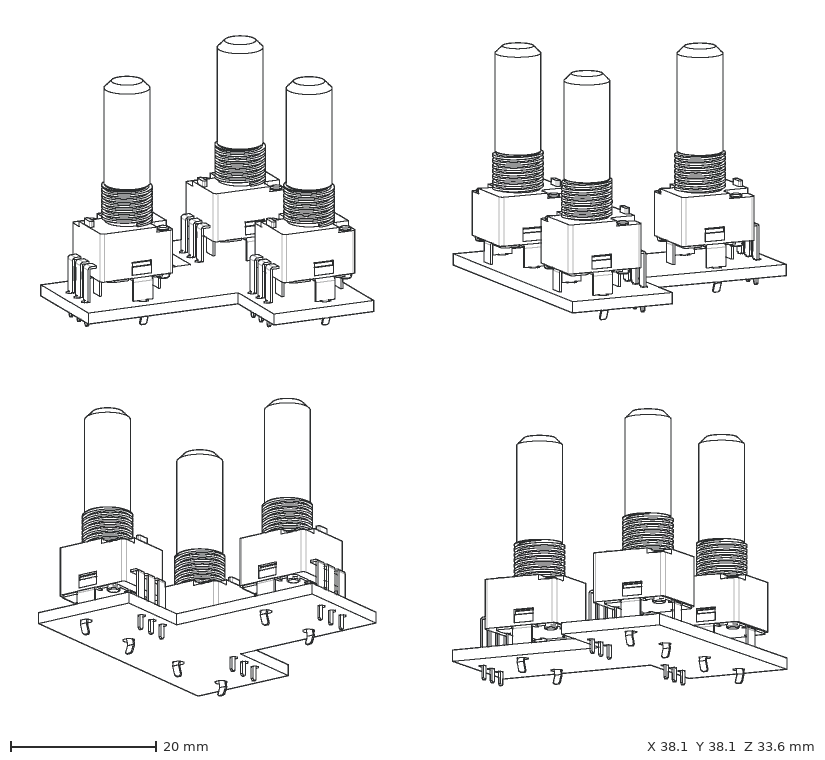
import cadquery as cq

board_size = 38.1
board_thickness = 1.6
arm_width = 15.24
pin_hole_diameter = 1.0
lug_hole_diameter = 1.6

control_pitch = 11.0
row_spacing = 22.55
back_row_margin = 6.0
back_row_y = board_size / 2 - back_row_margin
front_row_y = back_row_y - row_spacing
row_center_x = -0.05
control_positions = [
    (row_center_x - control_pitch, back_row_y),
    (row_center_x + control_pitch, back_row_y),
    (row_center_x, front_row_y),
]

housing_width = 9.5
housing_back = 4.9
housing_front = -6.19
housing_bottom = 3.16
housing_top = 10.07
housing_corner_radius = 0.5

pocket_inner_x = 2.34
pocket_inner_y = 2.3
pocket_depth = 0.73
pocket_corner_radius = 0.75

key_width = 2.0
key_setback = 0.08
key_thickness = 0.64
key_height = 0.82
key_corner_radius = 0.2

rivet_x = 3.76
rivet_y = 3.7
rivet_head_diameter = 1.6
rivet_head_height = 0.37
rivet_head_chamfer = 0.2
rivet_foot_diameter = 1.8
rivet_foot_bottom = 2.45
rivet_foot_chamfer = 0.15

shaft_diameter = 6.35
shaft_chamfer = 1.0
total_height = 33.64
tip_z = -3.52
shaft_top = total_height + tip_z
bushing_top = 15.36
bushing_core_diameter = 6.1
thread_diameter = 7.0
thread_pitch = 0.75
thread_start_z = 10.13
thread_height = 5.4
thread_crest = 0.32
thread_root = 0.5
thread_end_gap = 0.15
thread_embed = 0.1

sheet = 0.3
bend_radius = 0.45
pin_spacing = 2.5
pin_width = 1.5
pin_top = 5.15
pin_outer_y = -7.48
pin_shoulder_z = 0.08
pin_tail_width = 0.75
pin_tip_length = 0.25
pin_tip_width = 0.25
pin_hole_y = -7.55

plate_half = 4.55
plate_corner_radius = 0.5
relief_width = 0.5
relief_depth = 0.7
lug_outer_x = 5.2
lug_width = 2.93
leg_outer_y = 4.65
leg_width = 2.05
prong_width = 0.98
prong_kink_x = 5.78
prong_kink_z = -2.15
prong_tip_x = 5.2
prong_tip_chamfer = 0.2
lug_hole_x = 5.08

clip_width = lug_width
clip_bottom = 3.6
clip_foot_top = 4.74
clip_top = 5.25
window_top = 5.46
window_depth = 0.55
clip_setback = 0.3
clip_foot_setback = 0.03


def block(x0, x1, y0, y1, z0, z1):
    """Box given by its limits on each axis."""
    return cq.Workplane("XY").box(x1 - x0, y1 - y0, z1 - z0, centered=False).translate((x0, y0, z0))


def cylinder(x, y, z0, z1, diameter):
    """Upright cylinder between two heights."""
    return cq.Workplane("XY", origin=(x, y, z0)).circle(diameter / 2).extrude(z1 - z0)


def half_turn(shape):
    """Copy of a shape turned 180 degrees about the shaft axis."""
    return shape.rotate((0, 0, 0), (0, 0, 1), 180)


def make_housing():
    wall = housing_width / 2
    body = block(-wall, wall, housing_front, housing_back, housing_bottom, housing_top)
    body = body.edges("|Z").fillet(housing_corner_radius)

    reach = housing_width
    floor = housing_top - pocket_depth
    pocket = block(pocket_inner_x, reach, pocket_inner_y, reach, floor, housing_top)
    pocket = pocket.edges("|Z and <X and <Y").fillet(pocket_corner_radius)
    body = body.cut(pocket).cut(half_turn(pocket))

    half = clip_width / 2
    steps = [
        (window_depth, clip_top, window_top),
        (clip_setback, clip_foot_top, clip_top),
        (clip_foot_setback, clip_bottom, clip_foot_top),
    ]
    for depth, z0, z1 in steps:
        recess = block(wall - depth, wall, -half, half, z0, z1)
        body = body.cut(recess).cut(half_turn(recess))

    key_front = housing_front + key_setback
    key = block(
        -key_width / 2, key_width / 2,
        key_front, key_front + key_thickness,
        housing_top, housing_top + key_height,
    )
    key = key.edges("|Z").fillet(key_corner_radius)
    return body.union(key)


def make_rivet():
    """Rivet of the back right corner: chamfered head above, round foot below."""
    floor = housing_top - pocket_depth
    head = cylinder(rivet_x, rivet_y, floor, floor + rivet_head_height, rivet_head_diameter)
    head = head.faces(">Z").chamfer(rivet_head_chamfer)
    foot = cylinder(rivet_x, rivet_y, rivet_foot_bottom, housing_bottom, rivet_foot_diameter)
    foot = foot.faces("<Z").chamfer(rivet_foot_chamfer)
    return head, foot


def make_shaft():
    shaft = cylinder(0, 0, bushing_top, shaft_top, shaft_diameter)
    return shaft.faces(">Z").chamfer(shaft_chamfer)


def make_bushing():
    """Core with a right-handed helical ridge, cut off flat at both ends."""
    inner = bushing_core_diameter / 2 - thread_embed
    outer = thread_diameter / 2
    ridge = cq.Workplane("XZ").polyline([
        (inner, -thread_root / 2),
        (outer, -thread_crest / 2),
        (outer, thread_crest / 2),
        (inner, thread_root / 2),
    ]).close()
    helix = cq.Wire.makeHelix(thread_pitch, thread_height, inner)
    thread = ridge.sweep(cq.Workplane(obj=helix), isFrenet=True)
    thread = thread.translate((0, 0, thread_start_z))
    envelope = cylinder(0, 0, housing_top, bushing_top - thread_end_gap, 2 * thread_diameter)
    core = cylinder(0, 0, housing_top, bushing_top, bushing_core_diameter)
    return core.union(thread.intersect(envelope))


def make_pin():
    """Solder pin: leaves the front wall, bends down and narrows into a pointed tail."""
    strip = (
        cq.Workplane("YZ")
        .polyline([
            (housing_front, pin_top),
            (pin_outer_y, pin_top),
            (pin_outer_y, tip_z),
            (pin_outer_y + sheet, tip_z),
            (pin_outer_y + sheet, pin_top - sheet),
            (housing_front, pin_top - sheet),
        ])
        .close()
        .extrude(pin_width / 2, both=True)
    )
    strip = strip.edges("|X and <Y and >Z").fillet(bend_radius)
    front_outline = (
        cq.Workplane("XZ")
        .polyline([
            (-pin_width / 2, pin_top),
            (-pin_width / 2, pin_shoulder_z),
            (-pin_tail_width / 2, pin_shoulder_z),
            (-pin_tail_width / 2, tip_z + pin_tip_length),
            (-pin_tip_width / 2, tip_z),
            (pin_tip_width / 2, tip_z),
            (pin_tail_width / 2, tip_z + pin_tip_length),
            (pin_tail_width / 2, pin_shoulder_z),
            (pin_width / 2, pin_shoulder_z),
            (pin_width / 2, pin_top),
        ])
        .close()
        .extrude(-2 * pin_outer_y, both=True)
    )
    return strip.intersect(front_outline)


def make_bent_strip(outer, width):
    """Strip on the +X side that leaves the plate, bends down and stands on the board."""
    strip = (
        cq.Workplane("XZ")
        .polyline([
            (0, housing_bottom),
            (outer, housing_bottom),
            (outer, 0),
            (outer - sheet, 0),
            (outer - sheet, housing_bottom - sheet),
            (0, housing_bottom - sheet),
        ])
        .close()
        .extrude(width / 2, both=True)
    )
    return strip.edges("|Y and >X and >Z").fillet(bend_radius)


def make_prong():
    """Kinked snap-in prong below the +X lug."""
    return (
        cq.Workplane("XZ")
        .polyline([
            (lug_outer_x, 0),
            (prong_kink_x, prong_kink_z),
            (prong_tip_x, tip_z),
            (prong_tip_x - sheet, tip_z),
            (prong_kink_x - sheet, prong_kink_z),
            (lug_outer_x - sheet, 0),
        ])
        .close()
        .extrude(prong_width / 2, both=True)
        .edges("|X and <Z")
        .chamfer(prong_tip_chamfer)
    )


def make_relief(strip_width):
    """Round-ended notch in the +X edge of the plate, beside a bent strip."""
    center_y = (strip_width + relief_width) / 2
    end_x = plate_half - relief_depth + relief_width / 2
    z0 = housing_bottom - sheet
    notch = block(
        end_x, plate_half, center_y - relief_width / 2, center_y + relief_width / 2, z0, housing_bottom
    )
    return notch.union(cylinder(end_x, center_y, z0, housing_bottom, relief_width))


def make_plate():
    """Mounting plate under the housing with two lugs, two legs and two prongs."""
    plate = block(
        -plate_half, plate_half, -plate_half, plate_half, housing_bottom - sheet, housing_bottom
    )
    plate = plate.edges("|Z").fillet(plate_corner_radius)
    for width, turn in ((lug_width, 0), (leg_width, 90)):
        relief = make_relief(width)
        for notch in (relief, relief.mirror("XZ")):
            notch = notch.rotate((0, 0, 0), (0, 0, 1), turn)
            plate = plate.cut(notch).cut(half_turn(notch))

    lug = make_bent_strip(lug_outer_x, lug_width).union(make_prong())
    leg = make_bent_strip(leg_outer_y, leg_width).rotate((0, 0, 0), (0, 0, 1), 90)
    for side in (lug, leg):
        plate = plate.union(side).union(half_turn(side))
    return plate


def make_control():
    control = make_housing().union(make_bushing()).union(make_shaft()).union(make_plate())
    for part in make_rivet():
        control = control.union(part).union(half_turn(part))
    pin = make_pin()
    for index in (-1, 0, 1):
        control = control.union(pin.translate((index * pin_spacing, 0, 0)))
    return control


def make_board():
    half = board_size / 2
    crossbar = block(-half, half, half - arm_width, half, -board_thickness, 0)
    stem = block(-arm_width / 2, arm_width / 2, -half, half, -board_thickness, 0)
    plate = crossbar.union(stem)
    for x, y in control_positions:
        for index in (-1, 0, 1):
            hole_x = x + index * pin_spacing
            plate = plate.cut(cylinder(hole_x, y + pin_hole_y, -board_thickness, 0, pin_hole_diameter))
        for side in (-1, 1):
            hole_x = x + side * lug_hole_x
            plate = plate.cut(cylinder(hole_x, y, -board_thickness, 0, lug_hole_diameter))
    return plate


control = make_control()
controls = [control.translate((x, y, 0)) for x, y in control_positions]

board = make_board()
for placed in controls:
    board = board.cut(placed)

result = cq.Compound.makeCompound([board.val(), *[placed.val() for placed in controls]])